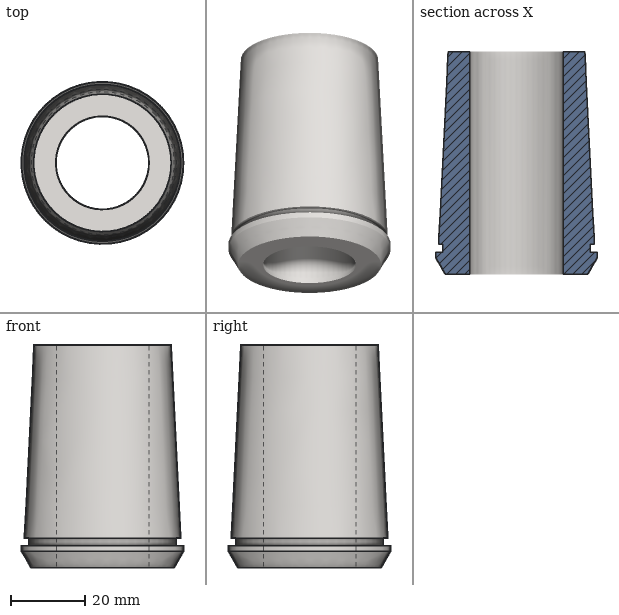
import cadquery as cq
import math

total_height = 60.0
bore_diameter = 25.0

body_top_diameter = 37.0
body_base_diameter = 42.2

groove_diameter = 39.8
groove_width = 2.0

collar_diameter = 43.7
collar_rim_height = 1.5
underside_angle = 30.0
underside_height = 4.5

collar_top = underside_height + collar_rim_height
body_base = collar_top + groove_width
bore_radius = bore_diameter / 2
collar_radius = collar_diameter / 2
groove_radius = groove_diameter / 2
foot_radius = collar_radius - underside_height * math.tan(math.radians(underside_angle))


def make_sleeve():
    """Revolve the half section (radius, height) about the Z axis."""
    half_section = [
        (bore_radius, 0),
        (foot_radius, 0),
        (collar_radius, underside_height),
        (collar_radius, collar_top),
        (groove_radius, collar_top),
        (groove_radius, body_base),
        (body_base_diameter / 2, body_base),
        (body_top_diameter / 2, total_height),
        (bore_radius, total_height),
    ]
    profile = cq.Workplane("XZ").polyline(half_section).close()
    return profile.revolve(360, (0, 0, 0), (0, 1, 0))


result = make_sleeve()